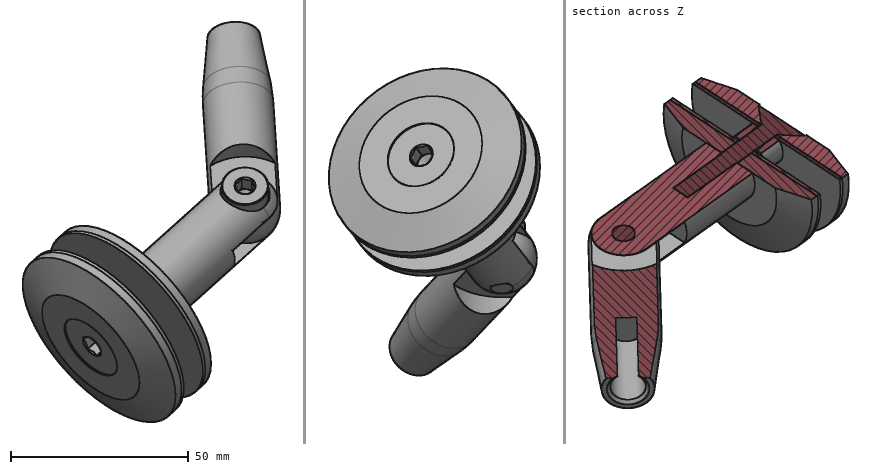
import cadquery as cq
import math

overall_length = 112.7
arm_angle = 45.0

disc_diameter = 58.0
disc_face_diameter = 37.0
disc_cone_height = 3.5
disc_rim_height = 2.5
gasket_thickness = 1.0
panel_gap = 8.0

bushing_diameter = 13.2
bushing_length = 7.4

screw_diameter = 10.0
screw_head_diameter = 20.0
screw_head_recess = 0.5
screw_engagement = 20.0
screw_hex_width = 6.0
screw_socket_mouth = 7.0
screw_socket_depth = 5.0

rod_diameter = 20.0
tongue_thickness = 8.0
joint_depth = 15.3
shoulder_radius = 16.9
arm_length = 60.0
arm_tip_diameter = 15.0
arm_taper_length = 20.0
arm_taper_blend = 46.2
arm_bore_diameter = 10.0
arm_bore_mouth = 12.0
arm_bore_depth = 25.0

pivot_diameter = 6.3
pivot_head_diameter = 13.2
pivot_head_seat = 6.1
pivot_head_top = 11.0
pivot_head_chamfer = 0.2
pivot_counterbore_diameter = 14.0
pivot_hex_width = 5.0
pivot_socket_mouth = 6.0
pivot_socket_depth = 5.0

drill_point_angle = 118.0

rod_radius = rod_diameter / 2
disc_height = disc_cone_height + disc_rim_height
stack_height = disc_height + gasket_thickness
rear_stack_y = stack_height + panel_gap
stem_base_y = rear_stack_y + stack_height
arm_reach_y = (arm_length * math.cos(math.radians(arm_angle))
               + arm_tip_diameter / 2 * math.sin(math.radians(arm_angle)))
pivot_y = overall_length - arm_reach_y
pivot_end_z = -math.sqrt(rod_radius**2 - (pivot_diameter / 2)**2)


def turned(outline):
    """Revolve a closed XY outline a full turn about the Y axis."""
    return outline.close().revolve(360, (0, 0, 0), (0, 1, 0))


def y_cylinder(diameter, start, end):
    """Cylinder on the Y axis between two Y positions."""
    return turned(cq.Workplane("XY").moveTo(0, start).lineTo(diameter / 2, start)
                  .lineTo(diameter / 2, end).lineTo(0, end))


def z_cylinder(diameter, bottom, top):
    """Cylinder on the Z axis between two heights, its seam line facing diagonally."""
    cylinder = cq.Workplane("XY").workplane(offset=bottom).circle(diameter / 2).extrude(top - bottom)
    return cylinder.rotate((0, 0, 0), (0, 0, 1), 45)


def tongue_slab():
    """Wide plate about Z = 0, as thick as the tongue."""
    return cq.Workplane("XY").box(2 * rod_diameter, 2 * joint_depth, tongue_thickness)


def hex_socket(hex_width, mouth_diameter, depth):
    """Hex socket cutter going down from Z = 0, with a conical mouth and a drilled point."""
    corner_diameter = hex_width / math.cos(math.radians(30))
    point_height = hex_width / 2 / math.tan(math.radians(drill_point_angle / 2))
    mouth_radius = mouth_diameter / 2
    mouth_depth = mouth_radius
    hexagon = cq.Workplane("XY").polygon(6, corner_diameter).extrude(-depth)
    point = cq.Solid.makeCone(hex_width / 2, 0, point_height, cq.Vector(0, 0, -depth), cq.Vector(0, 0, -1))
    mouth = cq.Solid.makeCone(mouth_radius, 0, mouth_depth, cq.Vector(0, 0, 0), cq.Vector(0, 0, -1))
    return hexagon.union(cq.Workplane(point)).union(cq.Workplane(mouth))


def disc_blank():
    """Conical disc with its flat outer face at Y = 0 and its rim towards +Y."""
    rim_radius = disc_diameter / 2
    return turned(cq.Workplane("XY").moveTo(0, 0).lineTo(disc_face_diameter / 2, 0)
                  .lineTo(rim_radius, disc_cone_height)
                  .lineTo(rim_radius, disc_height).lineTo(0, disc_height))


def clamp_screw_blank():
    """Countersunk screw on the Y axis, with a 90 degree head."""
    head_radius = screw_head_diameter / 2
    shank_radius = screw_diameter / 2
    shank_start = screw_head_recess + head_radius - shank_radius
    end = stem_base_y + screw_engagement
    return turned(cq.Workplane("XY").moveTo(0, screw_head_recess).lineTo(head_radius, screw_head_recess)
                  .lineTo(shank_radius, shank_start).lineTo(shank_radius, end).lineTo(0, end))


def make_clamp_screw():
    socket = hex_socket(screw_hex_width, screw_socket_mouth, screw_socket_depth)
    socket = socket.rotate((0, 0, 0), (1, 0, 0), 90).translate((0, screw_head_recess, 0))
    return clamp_screw_blank().cut(socket)


def make_front_disc():
    head_pocket = y_cylinder(screw_head_diameter, 0, screw_head_recess)
    return disc_blank().cut(head_pocket).cut(clamp_screw_blank())


def make_rear_disc():
    disc = disc_blank().mirror("XZ").translate((0, stem_base_y, 0))
    return disc.cut(clamp_screw_blank())


def make_gasket(start):
    return y_cylinder(disc_diameter, start, start + gasket_thickness).cut(clamp_screw_blank())


def make_bushing():
    return y_cylinder(bushing_diameter, stack_height, stack_height + bushing_length).cut(clamp_screw_blank())


def make_stem():
    """Rod with a ball end, slotted into a fork and bored for both screws."""
    rod = turned(cq.Workplane("XY").moveTo(0, stem_base_y).lineTo(rod_radius, stem_base_y)
                 .lineTo(rod_radius, pivot_y).radiusArc((0, pivot_y + rod_radius), -rod_radius))
    slot = tongue_slab().translate((0, pivot_y, 0))
    pivot_hole = z_cylinder(pivot_diameter, -rod_diameter, rod_diameter)
    counterbore = z_cylinder(pivot_counterbore_diameter, pivot_head_seat, rod_diameter)
    pivot_bore = pivot_hole.union(counterbore).translate((0, pivot_y, 0))
    return rod.cut(pivot_bore).cut(slot).cut(clamp_screw_blank())


def arm_blank():
    """Tapered rod along +Y with a ball end about the origin."""
    tip_radius = arm_tip_diameter / 2
    taper_start = arm_length - arm_taper_length
    rod = turned(cq.Workplane("XY").moveTo(0, -rod_radius).radiusArc((rod_radius, 0), -rod_radius)
                 .lineTo(rod_radius, taper_start).lineTo(tip_radius, arm_length).lineTo(0, arm_length))
    taper_corner = cq.selectors.NearestToPointSelector((0, taper_start, 0))
    return rod.edges("%CIRCLE").edges(taper_corner).fillet(arm_taper_blend)


def arm_bore():
    """Tip bore with a 45 degree chamfered mouth."""
    bore_radius = arm_bore_diameter / 2
    mouth_radius = arm_bore_mouth / 2
    bottom = arm_length - arm_bore_depth
    return turned(cq.Workplane("XY").moveTo(0, bottom).lineTo(bore_radius, bottom)
                  .lineTo(bore_radius, arm_length - (mouth_radius - bore_radius))
                  .lineTo(mouth_radius, arm_length).lineTo(0, arm_length))


def make_arm():
    """Arm with a tongue between round shoulders, turned into place about the pivot."""
    cheeks = z_cylinder(2 * shoulder_radius, -rod_diameter, rod_diameter)
    cheeks = cheeks.translate((0, joint_depth - shoulder_radius, 0)).cut(tongue_slab())
    pivot_hole = z_cylinder(pivot_diameter, -rod_diameter, rod_diameter)
    arm = arm_blank().cut(cheeks).cut(pivot_hole).cut(arm_bore())
    return arm.rotate((0, 0, 0), (0, 0, 1), arm_angle).translate((0, pivot_y, 0))


def make_pivot_screw():
    head = z_cylinder(pivot_head_diameter, pivot_head_seat, pivot_head_top)
    head = head.faces(">Z").edges().chamfer(pivot_head_chamfer)
    shank = z_cylinder(pivot_diameter, pivot_end_z, pivot_head_seat)
    socket = hex_socket(pivot_hex_width, pivot_socket_mouth, pivot_socket_depth)
    socket = socket.rotate((0, 0, 0), (0, 0, 1), 30).translate((0, 0, pivot_head_top))
    return head.union(shank).cut(socket).translate((0, pivot_y, 0))


front_disc = make_front_disc()
rear_disc = make_rear_disc()
gaskets = [make_gasket(start) for start in (disc_height, rear_stack_y)]
bushing = make_bushing()
clamp_screw = make_clamp_screw()
stem = make_stem()
arm = make_arm()
pivot_screw = make_pivot_screw()

bodies = [front_disc, rear_disc, *gaskets, bushing, clamp_screw, stem, arm, pivot_screw]
result = cq.Compound.makeCompound([body.solids().val() for body in bodies])